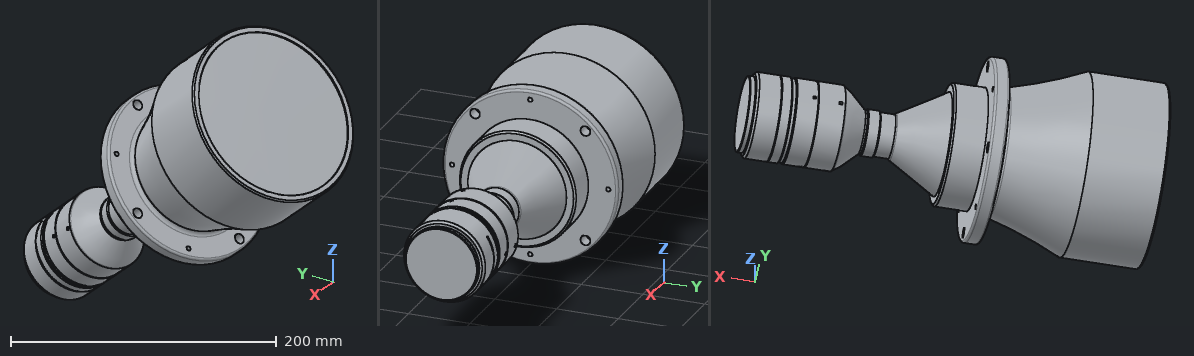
import cadquery as cq

TOTAL_LENGTH = 314.8

BARREL_R = 71.0
BARREL_END = 59.8
BARREL_CHAMFER = 1.3
TAPER_END = 118.7
TAPER_MID_R = 59.0
TAPER_END_R = 49.7

LENS_R = 65.8
LENS_RECESS = 1.3
LENS_DOME = 1.0

NECK_R = 49.0
NECK_HOLLOW_LENGTH = 3.0
NECK_HOLLOW_RISE = 3.0
NECK_HOLLOW_RADIUS = 3.8
FLANGE_START = 123.5
FLANGE_END = 135.5
FLANGE_FILLET = 2.0

PITCH_R = 63.3
CLEARANCE_HOLE_D = 8.0
CLEARANCE_HOLE_ANGLE = 45.0
SMALL_HOLE_D = 3.5
SMALL_HOLE_ANGLE = 0.0
HOLES_PER_SET = 4

COLLAR_R = 47.2
COLLAR_END = 161.5
COLLAR_CHAMFER = 1.5

CONE_START_R = 40.0
CONE_END_R = 18.0
CONE_END = 199.3
TUBE_R = 17.0
STEP_BEVEL = 1.0
RING_R = 18.0
RING_START = 211.5
RING_END = 222.0

FLARE_START = 223.5
FLARE_START_R = 17.3
FLARE_END = 241.5
FLARE_MID_R = 26.0
FLARE_END_R = 32.5

BODY_R = 33.0
BODY_BEVEL = 0.5
BODY_END = 310.0
BODY_CHAMFER = 2.0
END_BOSS_R = 29.3
END_BOSS_CHAMFER = 0.5

JOINT_X = 262.5
JOINT_WIDTH = 0.5
JOINT_DEPTH = 0.3
JOINT_SIDE_RUN = 0.0
GROOVE_START = 279.0
GROOVE_END = 283.3
GROOVE_DEPTH = 1.0
GROOVE_SIDE_RUN = 1.0

SCREW_COUNT = 3
SCREW_DEPTH = 3.0
FRONT_SCREW_X = 245.5
FRONT_SCREW_ANGLE = 18.0
FRONT_SCREW_D = 2.5
REAR_SCREW_X = 265.7
REAR_SCREW_ANGLE = 20.5
REAR_SCREW_D = 2.2

SLIT_X = 291.0
SLIT_WIDTH = 0.5
SLIT_DEPTH = 1.0
SLIT_START_ANGLE = 107.0
SLIT_SWEEP = 196.0


def turned_barrel():
    """Revolve the half outline; its points are (distance along X, radius)."""
    outline = (
        cq.Workplane("XY")
        .moveTo(LENS_RECESS - LENS_DOME, 0)
        .radiusArc((LENS_RECESS, LENS_R), lens_sphere_radius())
        .lineTo(0, LENS_R)
        .lineTo(0, BARREL_R - BARREL_CHAMFER)
        .lineTo(BARREL_CHAMFER, BARREL_R)
        .lineTo(BARREL_END, BARREL_R)
        .threePointArc(((BARREL_END + TAPER_END) / 2, TAPER_MID_R), (TAPER_END, TAPER_END_R))
        .lineTo(FLANGE_START - NECK_HOLLOW_LENGTH, NECK_R)
        .radiusArc((FLANGE_START, NECK_R + NECK_HOLLOW_RISE), -NECK_HOLLOW_RADIUS)
        .lineTo(FLANGE_START, BARREL_R - FLANGE_FILLET)
        .radiusArc((FLANGE_START + FLANGE_FILLET, BARREL_R), FLANGE_FILLET)
        .lineTo(FLANGE_END - FLANGE_FILLET, BARREL_R)
        .radiusArc((FLANGE_END, BARREL_R - FLANGE_FILLET), FLANGE_FILLET)
        .lineTo(FLANGE_END, COLLAR_R)
        .lineTo(COLLAR_END - COLLAR_CHAMFER, COLLAR_R)
        .lineTo(COLLAR_END, COLLAR_R - COLLAR_CHAMFER)
        .lineTo(COLLAR_END, CONE_START_R)
        .lineTo(CONE_END, CONE_END_R)
        .lineTo(CONE_END + STEP_BEVEL, TUBE_R)
        .lineTo(RING_START, TUBE_R)
        .lineTo(RING_START + STEP_BEVEL, RING_R)
        .lineTo(RING_END - STEP_BEVEL, RING_R)
        .lineTo(RING_END, TUBE_R)
        .lineTo(FLARE_START, FLARE_START_R)
        .threePointArc(((FLARE_START + FLARE_END) / 2, FLARE_MID_R), (FLARE_END, FLARE_END_R))
        .lineTo(FLARE_END + BODY_BEVEL, BODY_R)
        .lineTo(BODY_END - BODY_CHAMFER, BODY_R)
        .lineTo(BODY_END, BODY_R - BODY_CHAMFER)
        .lineTo(BODY_END, END_BOSS_R - END_BOSS_CHAMFER)
        .lineTo(BODY_END + END_BOSS_CHAMFER, END_BOSS_R)
        .lineTo(TOTAL_LENGTH - END_BOSS_CHAMFER, END_BOSS_R)
        .lineTo(TOTAL_LENGTH, END_BOSS_R - END_BOSS_CHAMFER)
        .lineTo(TOTAL_LENGTH, 0)
        .close()
    )
    return outline.revolve(360, (0, 0, 0), (1, 0, 0))


def lens_sphere_radius():
    """Radius of the sphere that rises by the lens dome over the lens radius."""
    return (LENS_R**2 + LENS_DOME**2) / (2 * LENS_DOME)


def flange_holes(diameter, first_angle):
    """Cutter for one set of through-holes on the flange pitch circle."""
    return (
        cq.Workplane("YZ", origin=(FLANGE_START, 0, 0))
        .polarArray(PITCH_R, first_angle, 360, HOLES_PER_SET)
        .circle(diameter / 2)
        .extrude(FLANGE_END - FLANGE_START)
    )


def ring_groove(start, end, depth, side_run):
    """Cutter for a groove round the body; each side slopes over side_run."""
    floor_r = BODY_R - depth
    outside_r = BODY_R + depth
    return (
        cq.Workplane("XY")
        .polyline([
            (start, outside_r),
            (start, BODY_R),
            (start + side_run, floor_r),
            (end - side_run, floor_r),
            (end, BODY_R),
            (end, outside_r),
        ])
        .close()
        .revolve(360, (0, 0, 0), (1, 0, 0))
    )


def screw_hole(x, angle, diameter):
    """Cutter for one radial blind hole in the rear body."""
    return (
        cq.Workplane("XY", origin=(x, 0, BODY_R - SCREW_DEPTH))
        .circle(diameter / 2)
        .extrude(2 * SCREW_DEPTH)
        .rotate((0, 0, 0), (1, 0, 0), angle)
    )


def slit():
    """Cutter for the thin slit, a small rectangle swept about the X axis."""
    return (
        cq.Workplane("XZ")
        .center(SLIT_X, BODY_R)
        .rect(SLIT_WIDTH, 2 * SLIT_DEPTH)
        .revolve(SLIT_SWEEP, (-SLIT_X, -BODY_R, 0), (3 - SLIT_X, -BODY_R, 0))
        .rotate((0, 0, 0), (1, 0, 0), SLIT_START_ANGLE)
    )


joint_start = JOINT_X - JOINT_WIDTH / 2
joint_end = JOINT_X + JOINT_WIDTH / 2

result = turned_barrel()
result = result.cut(flange_holes(CLEARANCE_HOLE_D, CLEARANCE_HOLE_ANGLE))
result = result.cut(flange_holes(SMALL_HOLE_D, SMALL_HOLE_ANGLE))
result = result.cut(ring_groove(joint_start, joint_end, JOINT_DEPTH, JOINT_SIDE_RUN))
result = result.cut(ring_groove(GROOVE_START, GROOVE_END, GROOVE_DEPTH, GROOVE_SIDE_RUN))
for i in range(SCREW_COUNT):
    turn = i * 360 / SCREW_COUNT
    result = result.cut(screw_hole(FRONT_SCREW_X, FRONT_SCREW_ANGLE + turn, FRONT_SCREW_D))
    result = result.cut(screw_hole(REAR_SCREW_X, REAR_SCREW_ANGLE + turn, REAR_SCREW_D))
result = result.cut(slit())